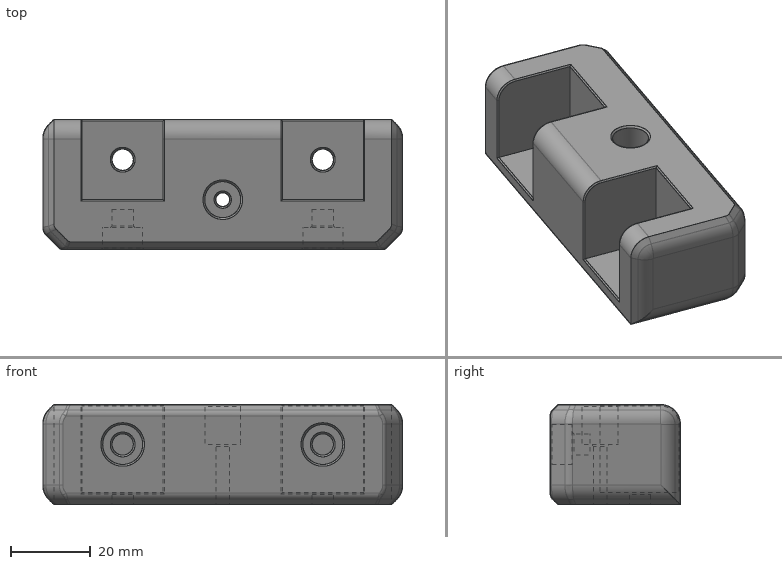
import cadquery as cq

LENGTH = 90
DEPTH = 32.6
HEIGHT = 25.0

CORNER_CHAMFER = 4.5
CORNER_SIDE_RADIUS = 2.7
CORNER_FRONT_RADIUS = 1.3
BACK_RADIUS = 4.95
SIDE_CHAMFER = 2.8
SIDE_RADIUS = 4.95
FRONT_CHAMFER = 2.0
FRONT_RADIUS = 2.1

BOLT_OFFSET = 25.0
POCKET_WIDTH = 20.25
FRONT_WALL = 12.5
FLOOR = 3.0
POCKET_CHAMFER = 0.4
BOLT_HOLE = 5.3
FLOOR_HOLE_Y = 22.5
FRONT_HOLE_Z = 15.0
FRONT_HOLE_DEPTH = 10.0
BOLT_COUNTERBORE = 10.0
BOLT_HEAD_DEPTH = 5.5

SCREW_Y = 12.5
SCREW_HOLE = 3.4
SCREW_COUNTERBORE = 9
SCREW_HEAD_DEPTH = 10.0

HOLE_CHAMFER = 0.45

SIDES = (-1, 1)
DOWN = cq.Vector(0, 0, -1)
BACKWARD = cq.Vector(0, 1, 0)
SELECT_GAP = 0.1


def edges_at(solid, points):
    """Edges whose centres lie at the given points."""
    found = []
    for x, y, z in points:
        low = (x - SELECT_GAP, y - SELECT_GAP, z - SELECT_GAP)
        high = (x + SELECT_GAP, y + SELECT_GAP, z + SELECT_GAP)
        found += solid.edges(cq.selectors.BoxSelector(low, high)).vals()
    return solid.newObject(found)


def end_rim(solid, inset):
    """Edges round both end faces, plus the level edges of the 45 degree corner faces."""
    end_edges = solid.faces("<X or >X").edges("not <Y").vals()
    corner_x = LENGTH / 2 - CORNER_CHAMFER / 2
    corner_y = CORNER_CHAMFER / 2
    levels = (inset, HEIGHT - inset)
    corner_edges = edges_at(solid, [(s * corner_x, corner_y, z) for s in SIDES for z in levels])
    return solid.newObject(end_edges + corner_edges.vals())


def make_body():
    solid = cq.Workplane("XY").box(LENGTH, DEPTH, HEIGHT, centered=(True, False, False))
    solid = solid.edges("|Z and <Y").chamfer(CORNER_CHAMFER)
    solid = solid.edges(">Y and >Z").fillet(BACK_RADIUS)
    solid = end_rim(solid, 0).chamfer(SIDE_CHAMFER)
    solid = solid.faces("<Y").edges("<Z or >Z").chamfer(FRONT_CHAMFER)

    solid = end_rim(solid, SIDE_CHAMFER).fillet(SIDE_RADIUS)
    middle = HEIGHT / 2
    side_corners = [(s * LENGTH / 2, CORNER_CHAMFER, middle) for s in SIDES]
    solid = edges_at(solid, side_corners).fillet(CORNER_SIDE_RADIUS)
    solid = solid.faces("<Y").edges("<Z or >Z").fillet(FRONT_RADIUS)
    front_corners = [(s * (LENGTH / 2 - CORNER_CHAMFER), 0, middle) for s in SIDES]
    return edges_at(solid, front_corners).fillet(CORNER_FRONT_RADIUS)


def cut_pocket(solid, x):
    """Open-backed pocket with a small chamfer along its top and back edges."""
    depth = DEPTH - FRONT_WALL
    pocket = (
        cq.Workplane("XY", origin=(x, FRONT_WALL, FLOOR))
        .box(POCKET_WIDTH, depth, HEIGHT - FLOOR, centered=(True, False, False))
    )
    solid = solid.cut(pocket)
    wall_xs = (x - POCKET_WIDTH / 2, x + POCKET_WIDTH / 2)
    top_y = (FRONT_WALL + DEPTH - BACK_RADIUS) / 2
    back_z = (FLOOR + HEIGHT - BACK_RADIUS) / 2
    rim = [(x, FRONT_WALL, HEIGHT), (x, DEPTH, FLOOR)]
    for wall_x in wall_xs:
        rim.append((wall_x, top_y, HEIGHT))
        rim.append((wall_x, DEPTH, back_z))
    return edges_at(solid, rim).chamfer(POCKET_CHAMFER)


def hole_tool(start, direction, diameter, depth):
    """Drill with a chamfered mouth, starting at a face and running into the part."""
    start = cq.Vector(*start)
    radius = diameter / 2
    drill = cq.Solid.makeCylinder(radius, depth, start, direction)
    mouth = cq.Solid.makeCone(radius + HOLE_CHAMFER, radius, HOLE_CHAMFER, start, direction)
    return drill.fuse(mouth)


def cut_bolt_holes(solid, x):
    front_mouth = (x, 0, FRONT_HOLE_Z)
    head_seat = (x, BOLT_HEAD_DEPTH, FRONT_HOLE_Z)
    solid = solid.cut(hole_tool(front_mouth, BACKWARD, BOLT_COUNTERBORE, BOLT_HEAD_DEPTH))
    solid = solid.cut(hole_tool(head_seat, BACKWARD, BOLT_HOLE, FRONT_HOLE_DEPTH - BOLT_HEAD_DEPTH))
    return solid.cut(hole_tool((x, FLOOR_HOLE_Y, FLOOR), DOWN, BOLT_HOLE, FLOOR))


def cut_screw_hole(solid):
    seat_z = HEIGHT - SCREW_HEAD_DEPTH
    solid = solid.cut(hole_tool((0, SCREW_Y, HEIGHT), DOWN, SCREW_COUNTERBORE, SCREW_HEAD_DEPTH))
    return solid.cut(hole_tool((0, SCREW_Y, seat_z), DOWN, SCREW_HOLE, seat_z))


result = make_body()
for side in SIDES:
    result = cut_pocket(result, side * BOLT_OFFSET)
    result = cut_bolt_holes(result, side * BOLT_OFFSET)
result = cut_screw_hole(result)